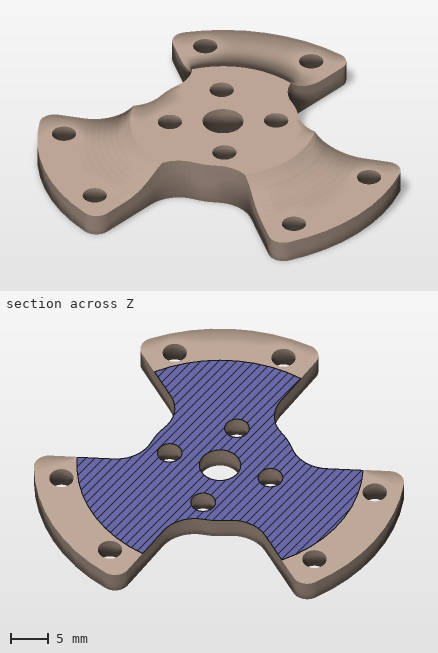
import cadquery as cq
import math

ARM_COUNT = 3
OUTER_RADIUS = 24.5
HUB_RADIUS = 10.0
TOTAL_HEIGHT = 6.0
FLANGE_THICKNESS = 3.0

ARM_HALF_ANGLE = 30.0
ARM_SIDE_OFFSET = 0.3
ARM_ROOT_FILLET = 5.0
ARM_CORNER_FILLET = 2.0

SWEEP_OUTER_RADIUS = 19.0
SWEEP_ARC_RADIUS = 9.0

CENTER_HOLE_DIAMETER = 5.4
SCREW_HOLE_DIAMETER = 3.2
HUB_BOLT_CIRCLE_RADIUS = 7.0
HUB_HOLE_COUNT = 4
ARM_BOLT_CIRCLE_RADIUS = 21.0
ARM_HOLE_HALF_ANGLE = 20.0


def polar(radius, angle):
    """Point at a radius and an angle in degrees."""
    return (radius * math.cos(math.radians(angle)), radius * math.sin(math.radians(angle)))


def revolved_body():
    """Round body: flat flange, concave sweep and flat hub top."""
    rise = TOTAL_HEIGHT - FLANGE_THICKNESS

    def sweep_radius(height):
        drop = SWEEP_ARC_RADIUS - height
        return SWEEP_OUTER_RADIUS - math.sqrt(SWEEP_ARC_RADIUS**2 - drop**2)

    mid_rise = rise / 2
    return (
        cq.Workplane("XZ")
        .lineTo(OUTER_RADIUS, 0)
        .lineTo(OUTER_RADIUS, FLANGE_THICKNESS)
        .lineTo(SWEEP_OUTER_RADIUS, FLANGE_THICKNESS)
        .threePointArc(
            (sweep_radius(mid_rise), FLANGE_THICKNESS + mid_rise),
            (sweep_radius(rise), TOTAL_HEIGHT),
        )
        .lineTo(0, TOTAL_HEIGHT)
        .close()
        .revolve(360, (0, 0), (0, 1))
    )


def arm_outline(arm_angle):
    """Prism covering one arm, from the axis to the rim, with rounded outer corners and root flares."""
    root_center_distance = HUB_RADIUS + ARM_ROOT_FILLET
    root_center_angle = ARM_HALF_ANGLE + math.degrees(
        math.asin((ARM_SIDE_OFFSET + ARM_ROOT_FILLET) / root_center_distance)
    )
    corner_center_distance = OUTER_RADIUS - ARM_CORNER_FILLET
    corner_center_angle = ARM_HALF_ANGLE - math.degrees(
        math.asin((ARM_CORNER_FILLET - ARM_SIDE_OFFSET) / corner_center_distance)
    )
    side_normal = ARM_HALF_ANGLE + 90

    def fillet_points(center, radius, start, end):
        """Start, middle and end of a fillet arc between two directions."""
        directions = (start, (start + end) / 2, end)
        return [tuple(c + d for c, d in zip(center, polar(radius, a))) for a in directions]

    root = fillet_points(
        polar(root_center_distance, root_center_angle),
        ARM_ROOT_FILLET,
        root_center_angle + 180,
        side_normal + 180,
    )
    corner = fillet_points(
        polar(corner_center_distance, corner_center_angle),
        ARM_CORNER_FILLET,
        side_normal,
        corner_center_angle,
    )

    def mirrored(points):
        return [(x, -y) for x, y in reversed(points)]

    lower_corner = mirrored(corner)
    lower_root = mirrored(root)
    return (
        cq.Workplane("XY")
        .lineTo(*root[0])
        .threePointArc(root[1], root[2])
        .lineTo(*corner[0])
        .threePointArc(corner[1], corner[2])
        .threePointArc((OUTER_RADIUS, 0), lower_corner[0])
        .threePointArc(lower_corner[1], lower_corner[2])
        .lineTo(*lower_root[0])
        .threePointArc(lower_root[1], lower_root[2])
        .close()
        .extrude(TOTAL_HEIGHT)
        .rotate((0, 0, 0), (0, 0, 1), arm_angle)
    )


def plan_prism(arm_angles):
    """Full-height prism of the hub and all arms."""
    prism = cq.Workplane("XY").circle(HUB_RADIUS).extrude(TOTAL_HEIGHT)
    for angle in arm_angles:
        prism = prism.union(arm_outline(angle))
    return prism.clean()


def through_holes(points, diameter):
    """Cylinders that cut through the full height."""
    return cq.Workplane("XY").pushPoints(points).circle(diameter / 2).extrude(TOTAL_HEIGHT)


arm_angles = [i * 360 / ARM_COUNT for i in range(ARM_COUNT)]

hub_hole_pitch = 360 / HUB_HOLE_COUNT
hub_hole_points = [
    polar(HUB_BOLT_CIRCLE_RADIUS, (i + 0.5) * hub_hole_pitch) for i in range(HUB_HOLE_COUNT)
]
arm_hole_points = [
    polar(ARM_BOLT_CIRCLE_RADIUS, angle + side * ARM_HOLE_HALF_ANGLE)
    for angle in arm_angles
    for side in (-1, 1)
]

result = (
    revolved_body()
    .intersect(plan_prism(arm_angles))
    .cut(through_holes([(0, 0)], CENTER_HOLE_DIAMETER))
    .cut(through_holes(hub_hole_points + arm_hole_points, SCREW_HOLE_DIAMETER))
)